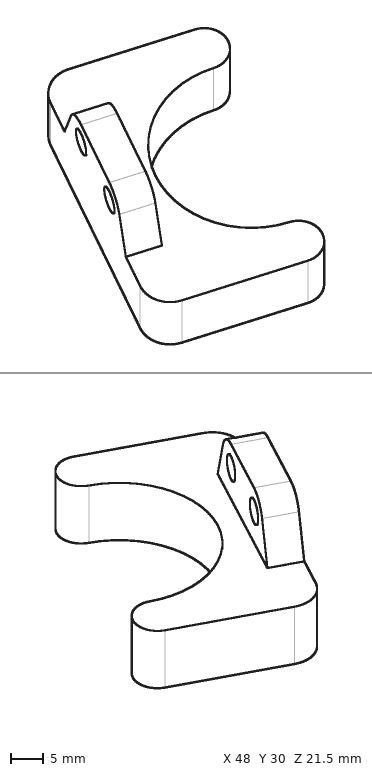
import cadquery as cq
import math

width = 48.0
depth = 30.0
base_height = 11.0
corner_radius = 5.0
cradle_radius = 16.0
arm_tip_radius = (width / 2 - cradle_radius) / 2
arm_center_y = depth - arm_tip_radius

total_height = 21.5
tab_thickness = 6.0
tab_base_width = 26.0
hole_spacing = 12.0
hole_diameter = 4.35
shoulder_radius = 4.5
hole_z = total_height - shoulder_radius


def make_base():
    half = width / 2
    outline = (
        cq.Workplane("XY")
        .moveTo(-half, 0)
        .lineTo(half, 0)
        .lineTo(half, arm_center_y)
        .threePointArc((half - arm_tip_radius, depth), (cradle_radius, arm_center_y))
        .threePointArc((0, arm_center_y - cradle_radius), (-cradle_radius, arm_center_y))
        .threePointArc((arm_tip_radius - half, depth), (-half, arm_center_y))
        .close()
    )
    return outline.extrude(base_height).edges("|Z and <Y").fillet(corner_radius)


def make_tab():
    foot_x = tab_base_width / 2
    shoulder_x = hole_spacing / 2

    run = foot_x - shoulder_x
    rise = base_height - hole_z
    tangent_angle = math.atan2(rise, run) + math.acos(shoulder_radius / math.hypot(run, rise))
    middle_angle = (tangent_angle + math.pi / 2) / 2

    def shoulder_point(angle, side):
        x = shoulder_x + shoulder_radius * math.cos(angle)
        return side * x, hole_z + shoulder_radius * math.sin(angle)

    return (
        cq.Workplane("XZ")
        .moveTo(-foot_x, 0)
        .lineTo(foot_x, 0)
        .lineTo(foot_x, base_height)
        .lineTo(*shoulder_point(tangent_angle, 1))
        .threePointArc(shoulder_point(middle_angle, 1), (shoulder_x, total_height))
        .lineTo(-shoulder_x, total_height)
        .threePointArc(shoulder_point(middle_angle, -1), shoulder_point(tangent_angle, -1))
        .lineTo(-foot_x, base_height)
        .close()
        .extrude(-tab_thickness)
    )


def make_holes():
    return (
        cq.Workplane("XZ")
        .pushPoints([(side * hole_spacing / 2, hole_z) for side in (-1, 1)])
        .circle(hole_diameter / 2)
        .extrude(-tab_thickness)
    )


result = make_base().union(make_tab()).cut(make_holes()).clean()